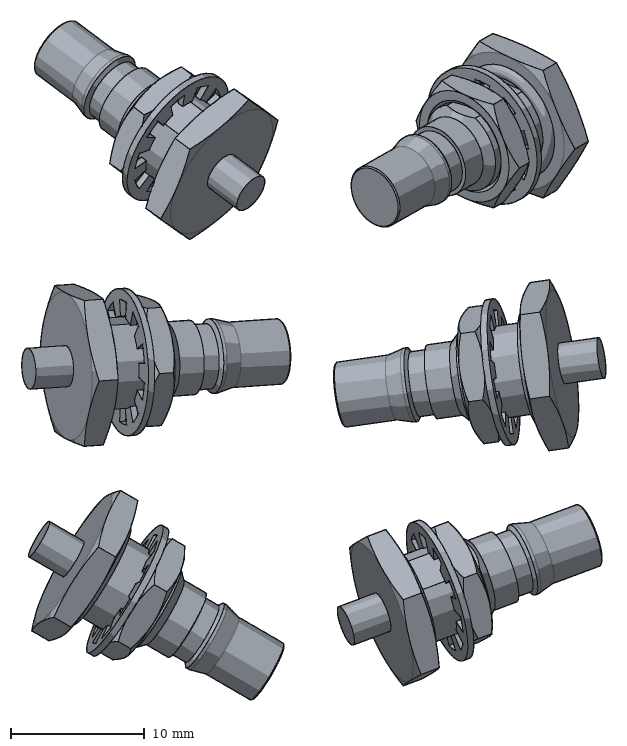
import cadquery as cq
import math

TOTAL_LENGTH = 20

PLUG_RADIUS = 2.45
PLUG_EDGE_CHAMFER = 0.1
RIDGE_RADIUS = 2.8
RIDGE_START_X = 4
RIDGE_CREST_START_X = 5.25
RIDGE_CREST_END_X = 5.5
RIDGE_END_X = 5.75
PLUG_END_X = 7.05

SHOULDER_RADIUS = 2.8
SHOULDER_END_X = 9
BARREL_RADIUS = 3.45
BARREL_START_X = SHOULDER_END_X + (BARREL_RADIUS - SHOULDER_RADIUS)
FLAT_HEIGHT = 3.15
HEAD_START_X = 15
HEAD_END_X = 17
HEAD_FLAT_WIDTH = 11.1
HEAD_CHAMFER_ANGLE = 16
STUB_RADIUS = 1.55

NUT_START_X = 10
NUT_END_X = 11.9
NUT_FLAT_WIDTH = 9
NUT_CHAMFER_ANGLE = 30
NUT_COUNTERSINK_RADIUS = 3.72

WASHER_START_X = 12
WASHER_THICKNESS = 0.5
WASHER_RADIUS = 5.52
TOOTH_ROOT_RADIUS = 4.7
TOOTH_COUNT = 10

SEAL_OUTER_RADIUS = 4.58
SEAL_TUBE_RADIUS = 0.5


def revolve_profile(points):
    """Turn a closed outline of (x, radius) points about the X axis."""
    return cq.Workplane("XY").polyline(points).close().revolve(360, (0, 0, 0), (1, 0, 0))


def cylinder(start_x, end_x, radius):
    return cq.Workplane("YZ").workplane(offset=start_x).circle(radius).extrude(end_x - start_x)


def chamfered_hexagon(start_x, end_x, flat_width, chamfer_angle):
    """Hexagonal block with flats up and down, its corners turned off conically at both ends."""
    face_radius = flat_width / 2
    corner_radius = face_radius / math.cos(math.radians(30))
    chamfer_depth = (corner_radius - face_radius) * math.tan(math.radians(chamfer_angle))
    hexagon = (
        cq.Workplane("YZ")
        .workplane(offset=start_x)
        .polygon(6, 2 * corner_radius)
        .extrude(end_x - start_x)
    )
    envelope = revolve_profile([
        (start_x, 0),
        (start_x, face_radius),
        (start_x + chamfer_depth, corner_radius),
        (end_x - chamfer_depth, corner_radius),
        (end_x, face_radius),
        (end_x, 0),
    ])
    return hexagon.intersect(envelope)


def make_plug():
    return revolve_profile([
        (0, 0),
        (0, PLUG_RADIUS - PLUG_EDGE_CHAMFER),
        (PLUG_EDGE_CHAMFER, PLUG_RADIUS),
        (RIDGE_START_X, PLUG_RADIUS),
        (RIDGE_CREST_START_X, RIDGE_RADIUS),
        (RIDGE_CREST_END_X, RIDGE_RADIUS),
        (RIDGE_END_X, PLUG_RADIUS),
        (PLUG_END_X, PLUG_RADIUS),
        (PLUG_END_X, 0),
    ])


def make_seal():
    center_radius = SEAL_OUTER_RADIUS - SEAL_TUBE_RADIUS
    return (
        cq.Workplane("XY")
        .center(HEAD_START_X, center_radius)
        .circle(SEAL_TUBE_RADIUS)
        .revolve(360, (0, -center_radius, 0), (1, -center_radius, 0))
    )


def make_connector_body(seal):
    barrel = revolve_profile([
        (PLUG_END_X, 0),
        (PLUG_END_X, SHOULDER_RADIUS),
        (SHOULDER_END_X, SHOULDER_RADIUS),
        (BARREL_START_X, BARREL_RADIUS),
        (HEAD_START_X, BARREL_RADIUS),
        (HEAD_START_X, 0),
    ])
    barrel_length = HEAD_START_X - PLUG_END_X
    above_flat = cq.Workplane("XY").box(
        barrel_length, 2 * BARREL_RADIUS, BARREL_RADIUS, centered=(False, True, False)
    ).translate((PLUG_END_X, 0, FLAT_HEIGHT))
    head = chamfered_hexagon(HEAD_START_X, HEAD_END_X, HEAD_FLAT_WIDTH, HEAD_CHAMFER_ANGLE)
    stub = cylinder(HEAD_END_X, TOTAL_LENGTH, STUB_RADIUS)
    return barrel.cut(above_flat).union(head).union(stub).cut(seal)


def make_nut(connector_body):
    nut = chamfered_hexagon(NUT_START_X, NUT_END_X, NUT_FLAT_WIDTH, NUT_CHAMFER_ANGLE)
    depth = NUT_COUNTERSINK_RADIUS - FLAT_HEIGHT
    for face_x, inward in ((NUT_START_X, 1), (NUT_END_X, -1)):
        countersink = revolve_profile([
            (face_x, 0),
            (face_x, NUT_COUNTERSINK_RADIUS),
            (face_x + inward * depth, FLAT_HEIGHT),
            (face_x + inward * depth, 0),
        ])
        nut = nut.cut(countersink)
    return nut.cut(connector_body)


def make_lock_washer():
    end_x = WASHER_START_X + WASHER_THICKNESS
    washer = cylinder(WASHER_START_X, end_x, WASHER_RADIUS)
    washer = washer.cut(cylinder(WASHER_START_X, end_x, BARREL_RADIUS))
    pitch = 360 / TOOTH_COUNT
    gap_ring = cylinder(WASHER_START_X, end_x, TOOTH_ROOT_RADIUS)
    wedge_length = 2 * TOOTH_ROOT_RADIUS
    wedge_half_width = wedge_length * math.tan(math.radians(pitch / 4))
    wedge = (
        cq.Workplane("YZ")
        .workplane(offset=WASHER_START_X)
        .polyline([(0, 0), (wedge_half_width, wedge_length), (-wedge_half_width, wedge_length)])
        .close()
        .extrude(WASHER_THICKNESS)
    )
    gap = wedge.intersect(gap_ring)
    for index in range(TOOTH_COUNT):
        washer = washer.cut(gap.rotate((0, 0, 0), (1, 0, 0), index * pitch))
    return washer


plug = make_plug()
seal = make_seal()
connector_body = make_connector_body(seal)
nut = make_nut(connector_body)
lock_washer = make_lock_washer()

result = cq.Compound.makeCompound([
    plug.val(),
    connector_body.solids().val(),
    nut.solids().val(),
    lock_washer.solids().val(),
    seal.val(),
])